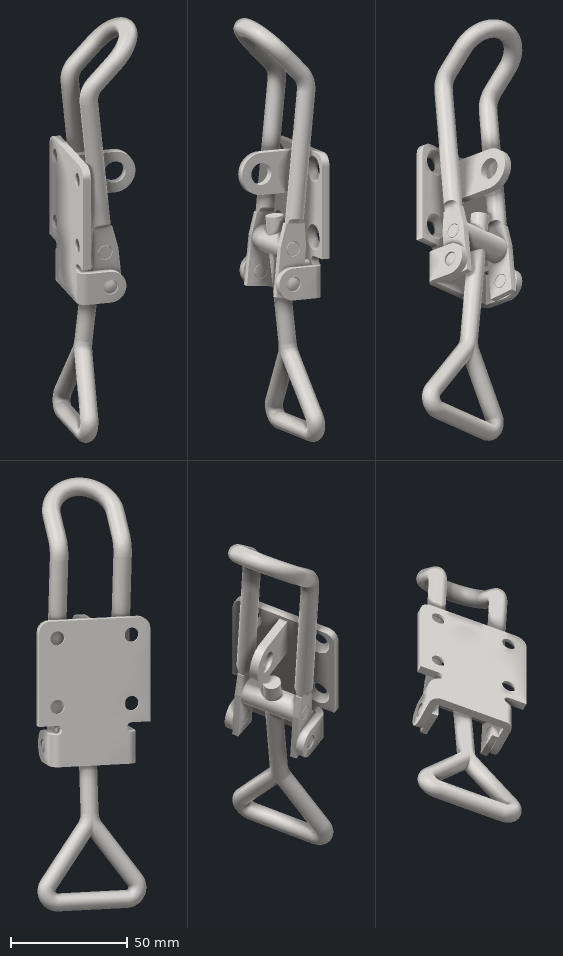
import cadquery as cq
import math

PLATE_WIDTH = 50.0
PLATE_TOP = 64.0
PLATE_THICKNESS = 3.5
PLATE_CORNER_RADIUS = 5.0
WIDE_BOTTOM = 18.1
MOUNT_HOLE_DIAMETER = 6.3
MOUNT_HOLE_LAND = 1.0
MOUNT_HOLE_X = 16.7
MOUNT_HOLE_HEIGHTS = (26.5, 56.5)

EAR_OUTER_X = 19.2
EAR_INNER_X = EAR_OUTER_X - PLATE_THICKNESS
EAR_HEIGHT = 14.0
EAR_END_RADIUS = EAR_HEIGHT / 2
BEND_OUTER_RADIUS = 3.9
BEND_INNER_RADIUS = BEND_OUTER_RADIUS - PLATE_THICKNESS
RELIEF_END_X = 14.6

LUG_THICKNESS = 3.9
LUG_HEIGHT = 18.5
LUG_CENTER_Z = 53.1
LUG_HOLE_Y = 21.3
LUG_HOLE_DIAMETER = 9.6

PIN_DIAMETER = 6.0
PIN_HOLE_DIAMETER = 6.5
PIN_DOME_HEIGHT = 0.5
EAR_PIN_Y = 14.2
EAR_PIN_Z = EAR_HEIGHT / 2
BARREL_Y = 12.8
BARREL_Z = 21.8
BARREL_DIAMETER = 11.5

WIRE_DIAMETER = 8.0
WIRE_RADIUS = WIRE_DIAMETER / 2
LOOP_RADIUS = 14.2
HANDLE_BEND_START = 84.0
HANDLE_BEND_RADIUS = 10.0
HANDLE_BEND_ANGLE = 50.0
HANDLE_ARM_LENGTH = 12.0
CHEEK_OUTER_X = EAR_INNER_X
CHEEK_THICKNESS = 2 * (CHEEK_OUTER_X - LOOP_RADIUS)
CHEEK_INNER_X = CHEEK_OUTER_X - CHEEK_THICKNESS
CHEEK_HALF_WIDTH = 6.1
CHEEK_TOP_HALF_WIDTH = 4.5
CHEEK_BOTTOM = -6.5
CHEEK_TAPER_START = 15.7
CHEEK_TOP = 25.9

NUB_REAR_Y = 5.0
NUB_FRONT_Y = 7.5
NUB_HEIGHT = 2.2
NUB_ROUNDING = 1.1

ROD_TILT = 6.4
ROD_DIAMETER = 7.8
ROD_RADIUS = ROD_DIAMETER / 2
ROD_TOP = 12.2
EYE_BAR_DISTANCE = 82.1
EYE_BAR_HALF_LENGTH = 15.4
EYE_BEND_RADIUS = 5.0
EYE_LEG_ANGLE = 36.3
EYE_NECK_RADIUS = 10.2
COUNTERSINK_DIAMETER = 11.1

HANDLE_TILT = math.degrees(math.atan2(EAR_PIN_Y - BARREL_Y, BARREL_Z - EAR_PIN_Z))


def x_cylinder(x_start, x_end, y, z, diameter):
    """Cylinder along X between two X positions."""
    return (
        cq.Workplane("YZ", origin=(x_start, y, z))
        .circle(diameter / 2)
        .extrude(x_end - x_start)
    )


def mirrored(shape):
    return shape.mirror("YZ")


def base_ear():
    """Right-hand ear with its rounded bend, joined to the plate at the start of the bend."""
    bend_x = EAR_OUTER_X - BEND_OUTER_RADIUS
    tip_y = EAR_PIN_Y + EAR_END_RADIUS
    section = (
        cq.Workplane("XY")
        .moveTo(bend_x, 0)
        .radiusArc((EAR_OUTER_X, BEND_OUTER_RADIUS), -BEND_OUTER_RADIUS)
        .lineTo(EAR_OUTER_X, tip_y)
        .lineTo(EAR_INNER_X, tip_y)
        .lineTo(EAR_INNER_X, BEND_OUTER_RADIUS)
        .radiusArc((bend_x, PLATE_THICKNESS), BEND_INNER_RADIUS)
        .close()
        .extrude(EAR_HEIGHT)
    )
    side = (
        cq.Workplane("YZ")
        .rect(EAR_PIN_Y, EAR_HEIGHT, centered=False)
        .extrude(EAR_OUTER_X)
        .union(x_cylinder(0, EAR_OUTER_X, EAR_PIN_Y, EAR_PIN_Z, EAR_HEIGHT))
    )
    return section.intersect(side)


def mount_hole():
    """Screw hole through the plate, countersunk at 90 degrees from the front."""
    radius = MOUNT_HOLE_DIAMETER / 2
    sink_radius = radius + PLATE_THICKNESS - MOUNT_HOLE_LAND
    return (
        cq.Workplane("XY")
        .lineTo(radius, 0)
        .lineTo(radius, MOUNT_HOLE_LAND)
        .lineTo(sink_radius, PLATE_THICKNESS)
        .lineTo(0, PLATE_THICKNESS)
        .close()
        .revolve(360, (0, 0, 0), (0, 1, 0))
    )


def make_base():
    wide_height = PLATE_TOP - WIDE_BOTTOM
    wide = (
        cq.Workplane("XY")
        .box(PLATE_WIDTH, PLATE_THICKNESS, wide_height, centered=(True, False, False))
        .translate((0, 0, WIDE_BOTTOM))
        .edges("|Y and >Z")
        .fillet(PLATE_CORNER_RADIUS)
    )
    neck_half = EAR_OUTER_X - BEND_OUTER_RADIUS
    neck = cq.Workplane("XY").box(
        2 * neck_half, PLATE_THICKNESS, EAR_HEIGHT, centered=(True, False, False)
    )
    relief_width = WIDE_BOTTOM - EAR_HEIGHT
    relief_x = RELIEF_END_X + relief_width / 2
    bridge = (
        cq.Workplane("XY")
        .box(2 * relief_x, PLATE_THICKNESS, relief_width, centered=(True, False, False))
        .translate((0, 0, EAR_HEIGHT))
    )
    ear = base_ear()
    base = wide.union(bridge).union(neck).union(ear).union(mirrored(ear))
    for side in (-1, 1):
        relief = (
            cq.Workplane("XZ", origin=(side * relief_x, 0, EAR_HEIGHT + relief_width / 2))
            .circle(relief_width / 2)
            .extrude(-PLATE_THICKNESS)
        )
        base = base.cut(relief)
    hole = mount_hole()
    for x in (-MOUNT_HOLE_X, MOUNT_HOLE_X):
        for z in MOUNT_HOLE_HEIGHTS:
            base = base.cut(hole.translate((x, 0, z)))
    pin_hole = x_cylinder(-EAR_OUTER_X, EAR_OUTER_X, EAR_PIN_Y, EAR_PIN_Z, PIN_HOLE_DIAMETER)
    return base.cut(pin_hole)


def make_lug():
    left = -LUG_THICKNESS / 2
    shank_length = LUG_HOLE_Y - PLATE_THICKNESS
    shank = cq.Workplane("XY").box(
        LUG_THICKNESS, shank_length, LUG_HEIGHT, centered=(True, False, True)
    ).translate((0, PLATE_THICKNESS, LUG_CENTER_Z))
    end = x_cylinder(left, -left, LUG_HOLE_Y, LUG_CENTER_Z, LUG_HEIGHT)
    hole = x_cylinder(left, -left, LUG_HOLE_Y, LUG_CENTER_Z, LUG_HOLE_DIAMETER)
    return shank.union(end).cut(hole)


def make_ear_pin(side):
    """Short pivot pin through one ear and cheek, with a domed outer end."""
    radius = PIN_DIAMETER / 2
    shoulder = EAR_OUTER_X - PIN_DOME_HEIGHT
    pin = (
        cq.Workplane("XY")
        .moveTo(CHEEK_INNER_X, 0)
        .lineTo(CHEEK_INNER_X, radius)
        .lineTo(shoulder, radius)
        .radiusArc((EAR_OUTER_X, 0), (radius**2 + PIN_DOME_HEIGHT**2) / (2 * PIN_DOME_HEIGHT))
        .close()
        .revolve(360, (0, 0, 0), (1, 0, 0))
    )
    if side < 0:
        pin = mirrored(pin)
    return pin.translate((0, EAR_PIN_Y, EAR_PIN_Z))


def handle_wire():
    """Bent wire loop, in a frame with the ear pins on X and the wire legs along Z."""
    bend = math.radians(HANDLE_BEND_ANGLE)
    bend_end_y = HANDLE_BEND_RADIUS * (1 - math.cos(bend))
    bend_end_z = HANDLE_BEND_START + HANDLE_BEND_RADIUS * math.sin(bend)
    arm_end_y = bend_end_y + HANDLE_ARM_LENGTH * math.sin(bend)
    arm_end_z = bend_end_z + HANDLE_ARM_LENGTH * math.cos(bend)
    tip_y = arm_end_y + LOOP_RADIUS * math.sin(bend)
    tip_z = arm_end_z + LOOP_RADIUS * math.cos(bend)
    mid_y = HANDLE_BEND_RADIUS * (1 - math.cos(bend / 2))
    mid_z = HANDLE_BEND_START + HANDLE_BEND_RADIUS * math.sin(bend / 2)

    def at(side, y, z):
        return cq.Vector(side * LOOP_RADIUS, y, z)

    edges = [
        cq.Edge.makeLine(at(-1, 0, CHEEK_TOP), at(-1, 0, HANDLE_BEND_START)),
        cq.Edge.makeThreePointArc(
            at(-1, 0, HANDLE_BEND_START), at(-1, mid_y, mid_z), at(-1, bend_end_y, bend_end_z)
        ),
        cq.Edge.makeLine(at(-1, bend_end_y, bend_end_z), at(-1, arm_end_y, arm_end_z)),
        cq.Edge.makeThreePointArc(
            at(-1, arm_end_y, arm_end_z), at(0, tip_y, tip_z), at(1, arm_end_y, arm_end_z)
        ),
        cq.Edge.makeLine(at(1, arm_end_y, arm_end_z), at(1, bend_end_y, bend_end_z)),
        cq.Edge.makeThreePointArc(
            at(1, bend_end_y, bend_end_z), at(1, mid_y, mid_z), at(1, 0, HANDLE_BEND_START)
        ),
        cq.Edge.makeLine(at(1, 0, HANDLE_BEND_START), at(1, 0, CHEEK_TOP)),
    ]
    path = cq.Workplane("XY").newObject([cq.Wire.assembleEdges(edges)])
    wire = (
        cq.Workplane("XY", origin=(-LOOP_RADIUS, 0, CHEEK_TOP))
        .circle(WIRE_RADIUS)
        .sweep(path)
    )
    shoulder = WIRE_RADIUS - CHEEK_THICKNESS / 2
    for side in (-1, 1):
        for offset in (-WIRE_RADIUS, WIRE_RADIUS):
            cutter = (
                cq.Workplane("XZ", origin=(side * LOOP_RADIUS + offset, WIRE_DIAMETER, CHEEK_TOP))
                .circle(shoulder)
                .extrude(2 * WIRE_DIAMETER)
            )
            wire = wire.cut(cutter)
    return wire


def handle_cheek():
    """Right-hand flat cheek, in the same frame as the wire."""
    return (
        cq.Workplane("YZ", origin=(CHEEK_INNER_X, 0, 0))
        .moveTo(-CHEEK_HALF_WIDTH, CHEEK_BOTTOM)
        .lineTo(CHEEK_HALF_WIDTH, CHEEK_BOTTOM)
        .lineTo(CHEEK_HALF_WIDTH, CHEEK_TAPER_START)
        .lineTo(CHEEK_TOP_HALF_WIDTH, CHEEK_TOP)
        .lineTo(-CHEEK_TOP_HALF_WIDTH, CHEEK_TOP)
        .lineTo(-CHEEK_HALF_WIDTH, CHEEK_TAPER_START)
        .close()
        .extrude(CHEEK_THICKNESS)
    )


def make_handle():
    cheek = handle_cheek()
    handle = (
        handle_wire()
        .union(cheek)
        .union(mirrored(cheek))
        .rotate((0, 0, 0), (1, 0, 0), HANDLE_TILT)
        .translate((0, EAR_PIN_Y, EAR_PIN_Z))
    )
    nub = (
        cq.Workplane("XY", origin=(CHEEK_INNER_X, NUB_REAR_Y, EAR_HEIGHT))
        .box(CHEEK_THICKNESS, NUB_FRONT_Y - NUB_REAR_Y, NUB_HEIGHT, centered=False)
        .edges(">X and >Z")
        .fillet(NUB_ROUNDING)
    )
    handle = handle.union(nub).union(mirrored(nub))
    for y, z in ((EAR_PIN_Y, EAR_PIN_Z), (BARREL_Y, BARREL_Z)):
        handle = handle.cut(x_cylinder(-CHEEK_OUTER_X, CHEEK_OUTER_X, y, z, PIN_HOLE_DIAMETER))
    return handle


def place_on_rod(shape):
    """Move a shape from the rod's own frame, rod along Z and barrel center at the origin."""
    return shape.rotate((0, 0, 0), (1, 0, 0), -ROD_TILT).translate((0, BARREL_Y, BARREL_Z))


def make_barrel():
    """Cross barrel with a journal at each end and a countersunk hole for the rod."""
    body = x_cylinder(-CHEEK_INNER_X, CHEEK_INNER_X, BARREL_Y, BARREL_Z, BARREL_DIAMETER)
    journals = x_cylinder(-CHEEK_OUTER_X, CHEEK_OUTER_X, BARREL_Y, BARREL_Z, PIN_DIAMETER)
    hole = cq.Workplane("XY").circle(ROD_RADIUS).extrude(BARREL_DIAMETER, both=True)
    sink_depth = (COUNTERSINK_DIAMETER - ROD_DIAMETER) / 2
    sink = (
        cq.Workplane("XY", origin=(0, 0, BARREL_DIAMETER / 2))
        .circle(COUNTERSINK_DIAMETER / 2)
        .workplane(offset=-sink_depth)
        .circle(ROD_RADIUS)
        .loft()
    )
    return body.union(journals).cut(place_on_rod(hole)).cut(place_on_rod(sink))


def make_rod():
    angle = math.radians(EYE_LEG_ANGLE)
    bar_z = -EYE_BAR_DISTANCE
    bend_z = bar_z + EYE_BEND_RADIUS
    leg_x = EYE_BAR_HALF_LENGTH + EYE_BEND_RADIUS * math.cos(angle)
    leg_z = bend_z + EYE_BEND_RADIUS * math.sin(angle)
    apex_z = leg_z + leg_x / math.tan(angle)
    half_turn = (math.pi / 2 + angle) / 2
    mid_x = EYE_BAR_HALF_LENGTH + EYE_BEND_RADIUS * math.sin(half_turn)
    mid_z = bend_z - EYE_BEND_RADIUS * math.cos(half_turn)

    neck_x = EYE_NECK_RADIUS * (1 - math.cos(angle))
    neck_mid_x = EYE_NECK_RADIUS * (1 - math.cos(angle / 2))
    neck_top_z = apex_z + EYE_NECK_RADIUS * math.tan(angle / 2)
    neck_bottom_z = neck_top_z - EYE_NECK_RADIUS * math.sin(angle)
    neck_mid_z = neck_top_z - EYE_NECK_RADIUS * math.sin(angle / 2)

    half_path = (
        cq.Workplane("XZ")
        .moveTo(0, bar_z)
        .lineTo(EYE_BAR_HALF_LENGTH, bar_z)
        .threePointArc((mid_x, mid_z), (leg_x, leg_z))
        .lineTo(neck_x, neck_bottom_z)
        .threePointArc((neck_mid_x, neck_mid_z), (0, neck_top_z))
    )
    half_eye = cq.Workplane("YZ", origin=(0, 0, bar_z)).circle(ROD_RADIUS).sweep(half_path)
    shank_length = ROD_TOP - neck_top_z
    shank = cq.Workplane("XY", origin=(0, 0, neck_top_z)).circle(ROD_RADIUS).extrude(shank_length)
    trim_size = 2 * EYE_BAR_DISTANCE
    right_side = cq.Workplane("XY").box(
        trim_size, trim_size, 2 * trim_size, centered=(False, True, True)
    )
    half_rod = half_eye.union(shank).intersect(right_side)
    rod = half_rod.union(mirrored(half_rod))
    return place_on_rod(rod)


base = make_base()
lug = make_lug()
ear_pins = [make_ear_pin(side) for side in (-1, 1)]
handle = make_handle()
barrel = make_barrel()
rod = make_rod()

result = cq.Compound.makeCompound(
    [base.val(), lug.val(), *[pin.val() for pin in ear_pins], handle.val(), barrel.val(), rod.val()]
)